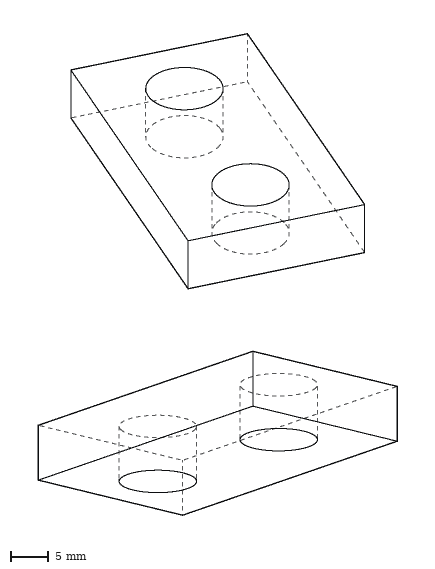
import cadquery as cq

length = 44.95
width = 25.4
thickness = 7.75

hole_diameter = 10.45
hole_spacing = 25.3
first_hole_from_edge = 9.7

first_hole_x = first_hole_from_edge - length / 2
hole_centres = [(first_hole_x, 0), (first_hole_x + hole_spacing, 0)]

plate = cq.Workplane("XY").box(length, width, thickness)

result = (
    plate.faces(">Z")
    .workplane()
    .pushPoints(hole_centres)
    .hole(hole_diameter)
)